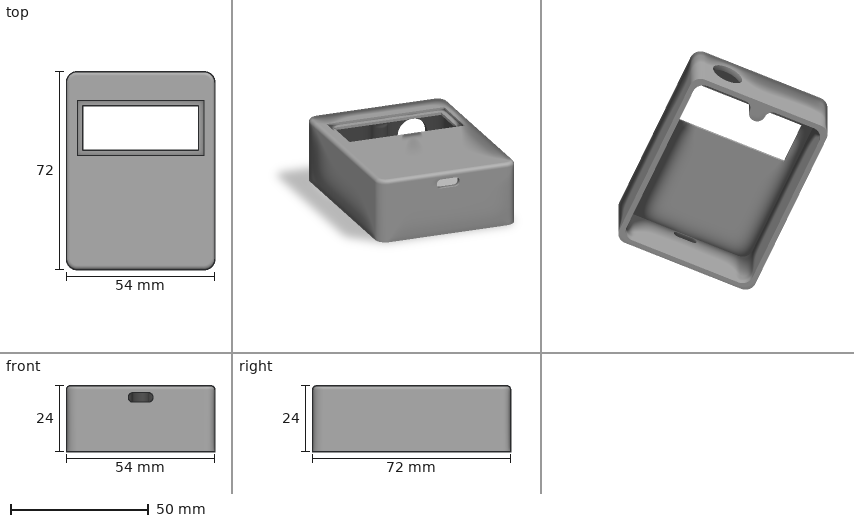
import cadquery as cq

LENGTH_X = 54.0
LENGTH_Y = 72.0
HEIGHT = 24.0
WALL = 2.0
ROOF = 2.0
OUTER_CORNER_RADIUS = 4.0
INNER_CORNER_RADIUS = 4.0
TOP_EDGE_RADIUS = 1.5

CAVITY_X = LENGTH_X - 2 * WALL
CAVITY_Y = LENGTH_Y - 2 * WALL
CAVITY_HEIGHT = HEIGHT - ROOF
BACK_WALL_INSIDE_Y = CAVITY_Y / 2

WINDOW_X = 42.0
WINDOW_Y = 16.0
WINDOW_CENTER_Y = 15.5
RECESS_MARGIN = 2.0
RECESS_DEPTH = 1.0

SLOT_WIDTH = 9.0
SLOT_HEIGHT = 3.5
SLOT_CENTER_Z = 19.75

BACK_HOLE_DIAMETER = 11.5
BACK_HOLE_X = 14.0
BACK_HOLE_Z = HEIGHT / 2

RIB_WIDTH = 6.0
RIB_BLEND_RADIUS = 3.0


def make_shell():
    body = (
        cq.Workplane("XY")
        .box(LENGTH_X, LENGTH_Y, HEIGHT, centered=(True, True, False))
        .edges("|Z")
        .fillet(OUTER_CORNER_RADIUS)
        .faces(">Z")
        .edges()
        .fillet(TOP_EDGE_RADIUS)
    )
    cavity = (
        cq.Workplane("XY")
        .box(CAVITY_X, CAVITY_Y, CAVITY_HEIGHT, centered=(True, True, False))
        .edges("|Z")
        .fillet(INNER_CORNER_RADIUS)
    )
    return body.cut(cavity)


def make_rib():
    half_width = RIB_WIDTH / 2
    foot_x = half_width + RIB_BLEND_RADIUS
    nose_center_y = BACK_WALL_INSIDE_Y - RIB_BLEND_RADIUS
    root_y = BACK_WALL_INSIDE_Y + WALL / 2
    return (
        cq.Workplane("XY")
        .moveTo(-foot_x, root_y)
        .lineTo(-foot_x, BACK_WALL_INSIDE_Y)
        .radiusArc((-half_width, nose_center_y), RIB_BLEND_RADIUS)
        .threePointArc((0, nose_center_y - half_width), (half_width, nose_center_y))
        .radiusArc((foot_x, BACK_WALL_INSIDE_Y), RIB_BLEND_RADIUS)
        .lineTo(foot_x, root_y)
        .close()
        .extrude(CAVITY_HEIGHT)
    )


def make_window():
    opening = (
        cq.Workplane("XY", origin=(0, WINDOW_CENTER_Y, CAVITY_HEIGHT))
        .rect(WINDOW_X, WINDOW_Y)
        .extrude(ROOF)
    )
    recess = (
        cq.Workplane("XY", origin=(0, WINDOW_CENTER_Y, HEIGHT - RECESS_DEPTH))
        .rect(WINDOW_X + 2 * RECESS_MARGIN, WINDOW_Y + 2 * RECESS_MARGIN)
        .extrude(RECESS_DEPTH)
    )
    return opening.union(recess)


def make_cable_slot():
    return (
        cq.Workplane("XZ", origin=(0, -CAVITY_Y / 2, SLOT_CENTER_Z))
        .slot2D(SLOT_WIDTH, SLOT_HEIGHT)
        .extrude(WALL)
    )


def make_back_hole():
    return (
        cq.Workplane("XZ", origin=(BACK_HOLE_X, LENGTH_Y / 2, BACK_HOLE_Z))
        .circle(BACK_HOLE_DIAMETER / 2)
        .extrude(WALL)
    )


result = (
    make_shell()
    .union(make_rib())
    .cut(make_window())
    .cut(make_cable_slot())
    .cut(make_back_hole())
)